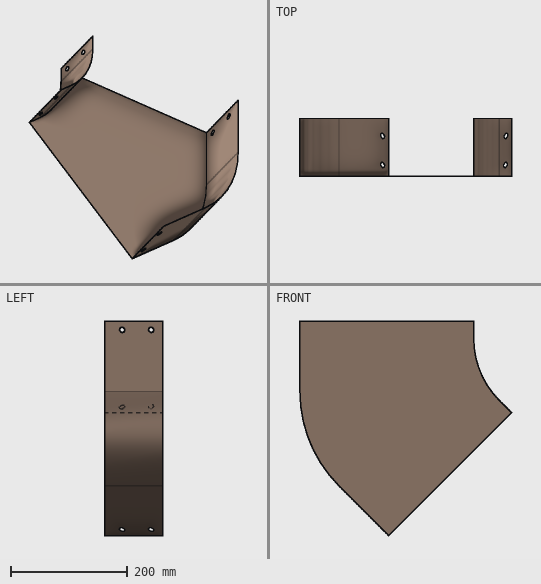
import cadquery as cq
import math


TRAY_WIDTH = 300.0
WALL_HEIGHT = 100.0
SHEET = 0.8
BEND_ANGLE = 45.0
INNER_RADIUS = 150.0
INNER_STRAIGHT = 30.0
OUTER_RADIUS = 230.0

HOLE_DIAMETER = 10.0
HOLE_ACROSS_FLATS = 7.0
FLAT_TILT = 45.0
HOLE_END_DISTANCE = 15.0
LOW_HOLE_HEIGHT = 20.0
HIGH_HOLE_HEIGHT = 70.0
CLOSE_HOLE_END_DISTANCE = 13.8

HALF_TAN = math.tan(math.radians(BEND_ANGLE / 2))
INNER_PIVOT_DISTANCE = INNER_STRAIGHT / HALF_TAN + INNER_RADIUS
PIVOT_X = TRAY_WIDTH + INNER_PIVOT_DISTANCE


def turned(point, angle):
    """Turn an (x, z) point about the pivot, anticlockwise in the XZ plane."""
    x, z = point
    turn = math.radians(angle)
    dx = x - PIVOT_X
    turned_x = PIVOT_X + dx * math.cos(turn) - z * math.sin(turn)
    turned_z = dx * math.sin(turn) + z * math.cos(turn)
    return (turned_x, turned_z)


def path_points(edge_x, radius):
    """Start, arc start, arc middle, arc end and finish of a straight-arc-straight edge."""
    pivot_distance = PIVOT_X - edge_x
    straight = (pivot_distance - radius) * HALF_TAN
    start = (edge_x, 0)
    arc_start = (edge_x, -straight)
    arc_centre_x = edge_x + radius
    half_angle = math.radians(BEND_ANGLE / 2)
    arc_middle = (
        arc_centre_x - radius * math.cos(half_angle),
        -straight - radius * math.sin(half_angle),
    )
    arc_end = turned((edge_x, straight), BEND_ANGLE)
    finish = turned(start, BEND_ANGLE)
    return start, arc_start, arc_middle, arc_end, finish


def strip(outer_x, outer_radius, inner_x, inner_radius, depth):
    """Plate between two edges of the bend, running from Y = 0 to Y = depth."""
    start, arc_start, arc_middle, arc_end, finish = path_points(outer_x, outer_radius)
    back_start, back_arc_start, back_middle, back_arc_end, back_finish = path_points(inner_x, inner_radius)
    return (
        cq.Workplane("XZ")
        .moveTo(*start)
        .lineTo(*arc_start)
        .threePointArc(arc_middle, arc_end)
        .lineTo(*finish)
        .lineTo(*back_finish)
        .lineTo(*back_arc_end)
        .threePointArc(back_middle, back_arc_start)
        .lineTo(*back_start)
        .close()
        .extrude(-depth)
    )


def hole_cutters(wall_x, tilt, low_offset, high_offset):
    """Double-flat pins along X through one wall, each offset above (+) or below (-) Z = 0."""
    centres = [(LOW_HOLE_HEIGHT, low_offset), (HIGH_HOLE_HEIGHT, high_offset)]
    plane = cq.Workplane("YZ", origin=(wall_x, 0, 0)).pushPoints(centres)
    pins = plane.circle(HOLE_DIAMETER / 2).extrude(SHEET)
    bands = plane.slot2D(2 * HOLE_DIAMETER, HOLE_ACROSS_FLATS, tilt).extrude(SHEET)
    return pins.intersect(bands)


def cut_wall_holes(wall, wall_x, tilt, angled_end_high_distance):
    """Cut the hole pairs near the top end and near the angled end of one wall."""
    top_holes = hole_cutters(wall_x, tilt, -HOLE_END_DISTANCE, -HOLE_END_DISTANCE)
    lower_holes = hole_cutters(wall_x, tilt, HOLE_END_DISTANCE, angled_end_high_distance)
    lower_holes = lower_holes.rotate((PIVOT_X, 0, 0), (PIVOT_X, 1, 0), -BEND_ANGLE)
    return wall.cut(top_holes).cut(lower_holes)


web = strip(0, OUTER_RADIUS, TRAY_WIDTH, INNER_RADIUS, SHEET)
outer_wall = strip(0, OUTER_RADIUS, SHEET, OUTER_RADIUS - SHEET, WALL_HEIGHT)
inner_wall = strip(TRAY_WIDTH - SHEET, INNER_RADIUS + SHEET, TRAY_WIDTH, INNER_RADIUS, WALL_HEIGHT)

outer_wall = cut_wall_holes(outer_wall, 0, FLAT_TILT, HOLE_END_DISTANCE)
inner_wall = cut_wall_holes(inner_wall, TRAY_WIDTH - SHEET, -FLAT_TILT, CLOSE_HOLE_END_DISTANCE)

result = web.union(outer_wall).union(inner_wall)